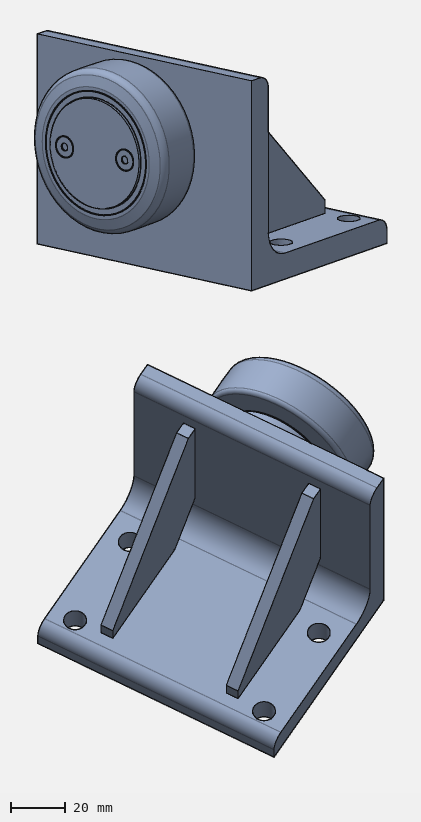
import cadquery as cq
import math

width = 100.0
leg = 80.0
thickness = 10.0
tip_radius = thickness / 2
inner_radius = thickness

rib_thickness = thickness / 2
rib_offset = 26.5
rib_reach = leg - 2 * thickness
rib_land = thickness / 2
rib_relief = 1.5 * thickness

mount_hole_dia = 8.3
mount_hole_x = 40.0
mount_hole_edge = thickness
mount_hole_pitch = mount_hole_x

axis_height = 50.0

stem_dia = 42.0
stem_chamfer = 0.27
stem_length = 8.3
tyre_start = 8.7
tyre_crown_dia = 62.4
tyre_edge_dia = 62.2
tyre_back_radius = 1.6
tyre_front_edge = 24.6
shoulder_dia = 58.3
shoulder_reach = 27.5
shoulder_bulge = 0.3
tyre_face_dia = 49.9
tyre_face_reach = 28.7

gap_width = 0.27
gap_depth = 0.5
seal_bore_dia = 47.0
seal_dia = seal_bore_dia - 2 * gap_width
cap_bore_dia = 42.0
cap_dia = cap_bore_dia - 2 * gap_width
cap_reach = 29.5

pin_spacing = 28.0
pin_hole_dia = 8.3
pin_dia = pin_hole_dia - 2 * gap_width
pin_bore_dia = 3.0
pin_bore_depth = 0.7


def make_angle():
    """L section in the YZ plane with the front face at Y = 0."""
    section = (
        cq.Workplane("YZ")
        .polyline([(0, 0), (leg, 0), (leg, thickness), (thickness, thickness), (thickness, leg), (0, leg)])
        .close()
        .extrude(width / 2, both=True)
    )
    rounded_edges = [
        ((0, thickness, thickness), inner_radius),
        ((0, leg, thickness), tip_radius),
        ((0, thickness, leg), tip_radius),
    ]
    for place, radius in rounded_edges:
        section = section.edges(cq.selectors.NearestToPointSelector(place)).fillet(radius)
    return section


def make_rib(x_center):
    """Diagonal web with an open relief at the inner corner of the angle."""
    near = thickness
    far = thickness + rib_reach
    outline = [
        (near, near + rib_relief),
        (near, far),
        (near + rib_land, far),
        (far, near + rib_land),
        (far, near),
        (near + rib_relief, near),
    ]
    web = cq.Workplane("YZ").polyline(outline).close().extrude(rib_thickness / 2, both=True)
    return web.translate((x_center, 0, 0))


def make_mount_holes():
    """Four through holes in the base leg."""
    hole_y = leg - mount_hole_edge
    points = [(x, y) for x in (-mount_hole_x, mount_hole_x) for y in (hole_y, hole_y - mount_hole_pitch)]
    return cq.Workplane("XY").pushPoints(points).circle(mount_hole_dia / 2).extrude(thickness)


def make_roller():
    """Revolve stem, crowned tyre and end cap about the roller axis."""
    crown_reach = (tyre_start + tyre_back_radius + tyre_front_edge) / 2
    back_inset = tyre_back_radius * (1 - math.sqrt(0.5))
    shoulder_mid = (
        (shoulder_dia + tyre_edge_dia) / 4 + shoulder_bulge,
        (shoulder_reach + tyre_front_edge) / 2 + shoulder_bulge,
    )
    gap_floor = tyre_face_reach - gap_depth
    edge = tyre_edge_dia / 2
    neck = stem_dia / 2 - stem_chamfer
    profile = (
        cq.Workplane("XY")
        .moveTo(0, 0)
        .lineTo(neck, 0)
        .lineTo(stem_dia / 2, stem_chamfer)
        .lineTo(stem_dia / 2, stem_length - stem_chamfer)
        .lineTo(neck, stem_length)
        .lineTo(neck, tyre_start)
        .lineTo(edge - tyre_back_radius, tyre_start)
        .threePointArc((edge - back_inset, tyre_start + back_inset), (edge, tyre_start + tyre_back_radius))
        .threePointArc((tyre_crown_dia / 2, crown_reach), (edge, tyre_front_edge))
        .threePointArc(shoulder_mid, (shoulder_dia / 2, shoulder_reach))
        .lineTo(tyre_face_dia / 2, tyre_face_reach)
        .lineTo(seal_bore_dia / 2, tyre_face_reach)
        .lineTo(seal_bore_dia / 2, gap_floor)
        .lineTo(seal_dia / 2, gap_floor)
        .lineTo(seal_dia / 2, tyre_face_reach)
        .lineTo(cap_bore_dia / 2, tyre_face_reach)
        .lineTo(cap_bore_dia / 2, gap_floor)
        .lineTo(cap_dia / 2, gap_floor)
        .lineTo(cap_dia / 2, cap_reach)
        .lineTo(0, cap_reach)
        .close()
    )
    roller = profile.revolve(360, (0, 0, 0), (0, 1, 0))
    return roller.rotate((0, 0, 0), (0, 0, 1), 180).translate((0, 0, axis_height))


def make_pin_discs(diameter, depth):
    """Two round discs sunk into the end cap, one on each side of the axis."""
    return (
        cq.Workplane("XZ", origin=(0, -cap_reach, axis_height))
        .pushPoints([(-pin_spacing / 2, 0), (pin_spacing / 2, 0)])
        .circle(diameter / 2)
        .extrude(-depth)
    )


result = make_angle()
for rib_x in (-rib_offset, rib_offset):
    result = result.union(make_rib(rib_x))
result = result.cut(make_mount_holes())
result = result.union(make_roller())
pin_gap = make_pin_discs(pin_hole_dia, gap_depth).cut(make_pin_discs(pin_dia, gap_depth))
result = result.cut(pin_gap)
result = result.cut(make_pin_discs(pin_bore_dia, pin_bore_depth))